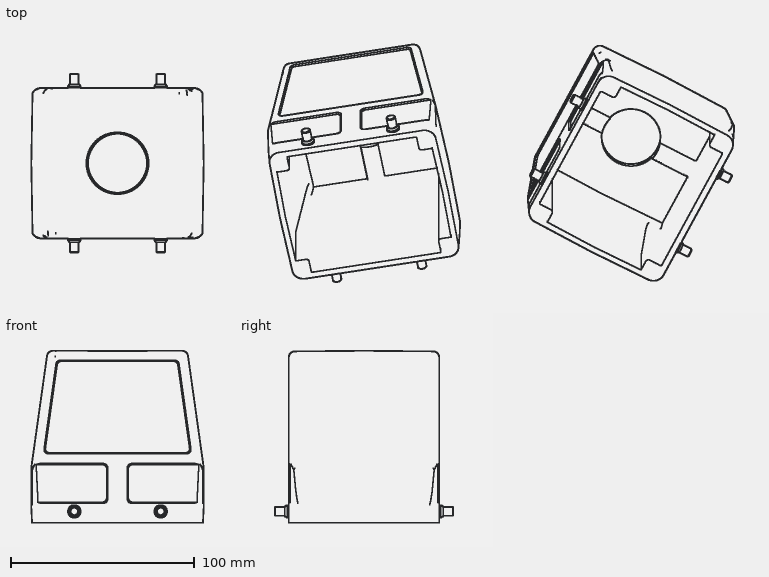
import cadquery as cq
import math

HEIGHT = 93.6
HALF_LENGTH = 93.88 / 2
HALF_WIDTH = 41.0
SPAN_OVER_PINS = 97.3

END_DRAFT = 1.0
ROOF_DRAFT = 0.5
UPPER_SLOPE_ANGLE = 8.0
FOOT_SLOPE_ANGLE = 2.75
UPPER_SLOPE = math.tan(math.radians(UPPER_SLOPE_ANGLE))
FOOT_SLOPE = math.tan(math.radians(FOOT_SLOPE_ANGLE))
END_DROP = HALF_WIDTH * math.tan(math.radians(END_DRAFT))
ROOF_DROP = HALF_WIDTH * math.tan(math.radians(ROOF_DRAFT))

FOOT_TOP = 8.4
SHOULDER = 30.0

UPPER_CORNER_R = 4.0
FOOT_CORNER_R = 6.3
ROOF_R = 3.5

WALL = 3.5
CEILING_THICKNESS = 5.5
CEILING = HEIGHT - CEILING_THICKNESS
POST_INNER_X = 35.8
POST_INNER_Y = 28.8
POST_EDGE_R = 1.7
POST_ROOT_R = 0.7
RIB_WIDTH = 9.4
RIB_DEPTH = 2.8
RIB_EDGE_R = 0.7
HOLE_D = 32.0
HOLE_CHAMFER = 1.0

PANEL_DEPTH = 0.8
PANEL_WALL_ANGLE = 40.0
UPPER_PANEL_BOTTOM = 37.5
UPPER_PANEL_TOP = 88.4
UPPER_PANEL_BOTTOM_HALF = 40.3
UPPER_PANEL_R = 2.5
LOWER_PANEL_BOTTOM = 10.5
LOWER_PANEL_TOP = 32.3
LOWER_PANEL_INNER_X = 5.2
LOWER_PANEL_R = 3.0

PIN_X = 23.5
PIN_Z = 6.2
PIN_D = 4.8
PIN_CHAMFER = 0.4
COLLAR_D = 6.9
COLLAR_LENGTH = 0.8
COLLAR_TIP_D = 5.6
COLLAR_CONE_LENGTH = 1.2


def tapered_block(half_bottom, half_top, half_width, drop, height):
    """Block with ends pointed along y = 0, changing length linearly from z = 0 to height."""
    def outline(half):
        return [
            (half, 0), (half - drop, half_width), (drop - half, half_width),
            (-half, 0), (drop - half, -half_width), (half - drop, -half_width),
        ]
    return (
        cq.Workplane("XY").polyline(outline(half_bottom)).close()
        .workplane(offset=height).polyline(outline(half_top)).close()
        .loft(ruled=True)
    )


def round_corners(block, radius):
    """Round the four upright corners where the ends meet the front and back walls."""
    def is_upright_corner(edge):
        box = edge.BoundingBox()
        return box.zlen > HEIGHT / 2 and box.ylen < 1 and abs(box.center.y) > HALF_WIDTH / 2
    return block.edges().filter(is_upright_corner).fillet(radius)


def is_roof_rim(edge):
    """True for an edge around the roof, but not for the ridge along y = 0."""
    box = edge.BoundingBox()
    at_roof = box.zmin > HEIGHT - 2 * ROOF_DROP
    is_ridge = abs(box.center.x) < 1 and abs(box.center.y) < 1
    return at_roof and not is_ridge


def upper_shell():
    """Steep-sided upper body with a slightly ridged, rounded roof."""
    half_bottom = HALF_LENGTH + SHOULDER * UPPER_SLOPE
    half_top = half_bottom - HEIGHT * UPPER_SLOPE
    block = tapered_block(half_bottom, half_top, HALF_WIDTH, END_DROP, HEIGHT)
    roof = (
        cq.Workplane("YZ")
        .polyline([
            (-HALF_WIDTH, 0), (HALF_WIDTH, 0), (HALF_WIDTH, HEIGHT - ROOF_DROP),
            (0, HEIGHT), (-HALF_WIDTH, HEIGHT - ROOF_DROP),
        ]).close()
        .extrude(2 * HALF_LENGTH, both=True)
    )
    block = round_corners(block.intersect(roof), UPPER_CORNER_R)
    return block.edges().filter(is_roof_rim).fillet(ROOF_R)


def foot_shell():
    """Lower body flaring upwards from the base, with larger corner rounds."""
    half_bottom = HALF_LENGTH - FOOT_TOP * FOOT_SLOPE
    half_top = half_bottom + HEIGHT * FOOT_SLOPE
    block = tapered_block(half_bottom, half_top, HALF_WIDTH, END_DROP, HEIGHT)
    return round_corners(block, FOOT_CORNER_R)


def corner_post(x_side, y_side):
    """Upright post filling one cavity corner, rounded where it faces the middle."""
    inner_x = "<X" if x_side > 0 else ">X"
    inner_y = "<Y" if y_side > 0 else ">Y"
    size_x = HALF_LENGTH - POST_INNER_X
    size_y = HALF_WIDTH - POST_INNER_Y
    centre = (
        x_side * (POST_INNER_X + size_x / 2),
        y_side * (POST_INNER_Y + size_y / 2),
        HEIGHT / 2,
    )
    post = cq.Workplane("XY").box(size_x, size_y, 2 * HEIGHT)
    return post.edges("|Z").edges(inner_x).edges(inner_y).fillet(POST_EDGE_R).translate(centre)


def ceiling_rib():
    """Rib hanging from the ceiling between the front and back walls, with rounded lower edges."""
    rib = cq.Workplane("XY").box(RIB_WIDTH, 2 * HALF_WIDTH, 2 * RIB_DEPTH)
    return rib.edges("|Y and <Z").fillet(RIB_EDGE_R).translate((0, 0, CEILING))


def is_post_root(edge):
    """True for an upright edge where a post meets the front or back cavity wall."""
    return abs(abs(edge.Center().y) - (HALF_WIDTH - WALL)) < POST_ROOT_R


def cavity():
    """Open-bottomed hollow following the ends, less the corner posts and the ceiling rib."""
    half_length = HALF_LENGTH - WALL
    half_width = HALF_WIDTH - WALL
    lower = tapered_block(half_length, half_length, half_width, END_DROP, CEILING)
    half_bottom = half_length + SHOULDER * UPPER_SLOPE
    half_top = half_bottom - CEILING * UPPER_SLOPE
    upper = tapered_block(half_bottom, half_top, half_width, END_DROP, CEILING)
    hollow = lower.intersect(upper)
    for x_side in (-1, 1):
        for y_side in (-1, 1):
            hollow = hollow.cut(corner_post(x_side, y_side))
    hollow = hollow.cut(ceiling_rib())
    return hollow.edges("|Z").filter(is_post_root).fillet(POST_ROOT_R)


def cable_hole():
    """Round opening through the roof and the rib, chamfered at the top."""
    hole = (
        cq.Workplane("XY").workplane(offset=CEILING - 2 * RIB_DEPTH)
        .circle(HOLE_D / 2).extrude(HEIGHT)
    )
    rim = (
        cq.Workplane("XY").workplane(offset=HEIGHT - HOLE_CHAMFER)
        .circle(HOLE_D / 2)
        .workplane(offset=HOLE_CHAMFER).circle(HOLE_D / 2 + HOLE_CHAMFER)
        .loft()
    )
    return hole.union(rim)


def panel(outline, radius):
    """Sloping-walled recess cut into the front wall."""
    sketch = cq.Sketch().polygon(outline + outline[:1]).vertices().fillet(radius)
    return (
        cq.Workplane("XZ", origin=(0, -HALF_WIDTH, 0))
        .placeSketch(sketch)
        .extrude(-PANEL_DEPTH, taper=PANEL_WALL_ANGLE)
    )


def upper_panel():
    """Large recess with sides parallel to the sloping ends."""
    half_bottom = UPPER_PANEL_BOTTOM_HALF
    half_top = half_bottom - (UPPER_PANEL_TOP - UPPER_PANEL_BOTTOM) * UPPER_SLOPE
    return panel([
        (-half_bottom, UPPER_PANEL_BOTTOM), (half_bottom, UPPER_PANEL_BOTTOM),
        (half_top, UPPER_PANEL_TOP), (-half_top, UPPER_PANEL_TOP),
    ], UPPER_PANEL_R)


def lower_panel():
    """Right-hand lower recess, running out through the end of the hood."""
    outer_x = HALF_LENGTH + 2 * LOWER_PANEL_R
    return panel([
        (LOWER_PANEL_INNER_X, LOWER_PANEL_BOTTOM), (outer_x, LOWER_PANEL_BOTTOM),
        (outer_x, LOWER_PANEL_TOP), (LOWER_PANEL_INNER_X, LOWER_PANEL_TOP),
    ], LOWER_PANEL_R)


def pin():
    """Front right pin with its collar, turned about an axis along Y."""
    root = HALF_WIDTH - WALL / 2
    collar_end = HALF_WIDTH + COLLAR_LENGTH
    cone_end = collar_end + COLLAR_CONE_LENGTH
    tip = SPAN_OVER_PINS / 2
    profile = [
        (0, root), (COLLAR_D / 2, root), (COLLAR_D / 2, collar_end),
        (COLLAR_TIP_D / 2, cone_end), (PIN_D / 2, cone_end),
        (PIN_D / 2, tip - PIN_CHAMFER), (PIN_D / 2 - PIN_CHAMFER, tip), (0, tip),
    ]
    turned = cq.Workplane("XY").polyline(profile).close().revolve(360, (0, 0, 0), (0, 1, 0))
    return turned.mirror("XZ").translate((PIN_X, 0, PIN_Z))


middle_block = tapered_block(HALF_LENGTH, HALF_LENGTH, HALF_WIDTH, END_DROP, HEIGHT)
hood = upper_shell().intersect(foot_shell()).intersect(middle_block)
hood = hood.cut(cavity()).cut(cable_hole())

front_panels = [upper_panel(), lower_panel(), lower_panel().mirror("YZ")]
for recess in front_panels:
    hood = hood.cut(recess).cut(recess.mirror("XZ"))

for front_pin in [pin(), pin().mirror("YZ")]:
    hood = hood.union(front_pin).union(front_pin.mirror("XZ"))

result = hood